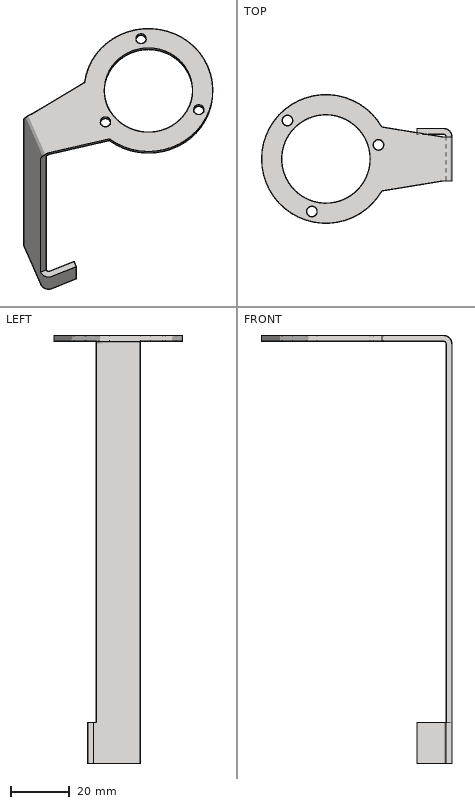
import cadquery as cq
import math

height = 145.9
length = 64.9
thickness = 2.0
inner_bend = 0.9
outer_bend = inner_bend + thickness

ring_diameter = 43.9
bore_diameter = 30.0
screw_hole_diameter = 3.5
screw_circle_radius = 18.5
screw_hole_count = 3
first_hole_angle = 15.0

strip_width = 15.0
neck_root_half_width = 11.0
neck_taper_end = 40.0

tab_length = 12.0
tab_height = 14.0

ring_radius = ring_diameter / 2
half_width = strip_width / 2
back_face = length - ring_radius
neck_root = math.sqrt(ring_radius**2 - neck_root_half_width**2)
plate_bottom = height - thickness


def bent_sheet(plane, corner_u, corner_v, end_u, end_v, depth):
    """Extrude an L section whose outer corner would be at (corner_u, corner_v).

    One leg runs toward -u as far as end_u, the other toward -v as far as end_v.
    """
    bend_u = corner_u - outer_bend
    bend_v = corner_v - outer_bend
    diagonal = math.sqrt(0.5)
    return (
        cq.Workplane(plane)
        .moveTo(end_u, corner_v)
        .lineTo(bend_u, corner_v)
        .threePointArc(
            (bend_u + outer_bend * diagonal, bend_v + outer_bend * diagonal),
            (corner_u, bend_v),
        )
        .lineTo(corner_u, end_v)
        .lineTo(corner_u - thickness, end_v)
        .lineTo(corner_u - thickness, bend_v)
        .threePointArc(
            (bend_u + inner_bend * diagonal, bend_v + inner_bend * diagonal),
            (bend_u, corner_v - thickness),
        )
        .lineTo(end_u, corner_v - thickness)
        .close()
        .extrude(depth)
    )


def ring_plate():
    """Ring disc with its neck, bore and screw holes."""
    plate = cq.Workplane("XY", origin=(0, 0, plate_bottom))
    neck = (
        plate.moveTo(0, -neck_root_half_width)
        .lineTo(neck_root, -neck_root_half_width)
        .lineTo(neck_taper_end, -half_width)
        .lineTo(neck_taper_end, half_width)
        .lineTo(neck_root, neck_root_half_width)
        .lineTo(0, neck_root_half_width)
        .close()
        .extrude(thickness)
    )
    bore = plate.circle(bore_diameter / 2).extrude(thickness)
    screw_holes = (
        plate.polarArray(screw_circle_radius, first_hole_angle, 360, screw_hole_count)
        .circle(screw_hole_diameter / 2)
        .extrude(thickness)
    )
    disc = plate.circle(ring_radius).extrude(thickness)
    return disc.union(neck).cut(bore).cut(screw_holes)


strip = bent_sheet("XZ", back_face, height, neck_taper_end, 0, strip_width)
strip = strip.translate((0, half_width, 0))

tab_outer_face = half_width + outer_bend
tab_end = back_face - tab_length
foot = bent_sheet("XY", back_face, tab_outer_face, tab_end, -half_width, tab_height)

result = ring_plate().union(strip).union(foot)